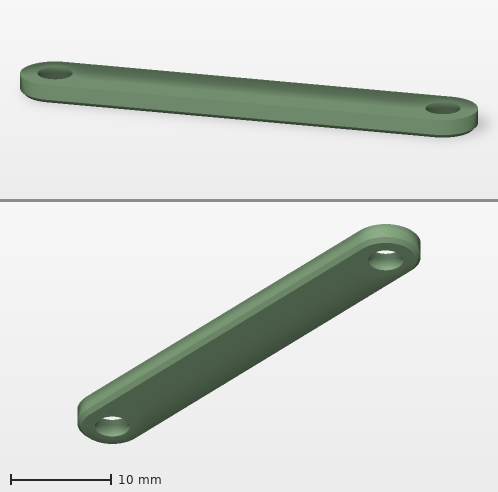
import cadquery as cq
import math

overall_x = 41.65
link_width = 7.0
thickness = 2.0
hole_diameter = 3.5
tilt_angle = 30.0
bottom_chamfer = 0.4

end_radius = link_width / 2
hole_spacing = (overall_x - 2 * end_radius) / math.cos(math.radians(tilt_angle))

bar = (
    cq.Workplane("XY")
    .slot2D(hole_spacing + link_width, link_width)
    .extrude(thickness)
    .faces("<Z")
    .edges()
    .chamfer(bottom_chamfer)
)

link = (
    bar.faces(">Z")
    .workplane()
    .pushPoints([(-hole_spacing / 2, 0), (hole_spacing / 2, 0)])
    .hole(hole_diameter)
)

result = link.rotate((0, 0, 0), (0, 0, 1), tilt_angle)